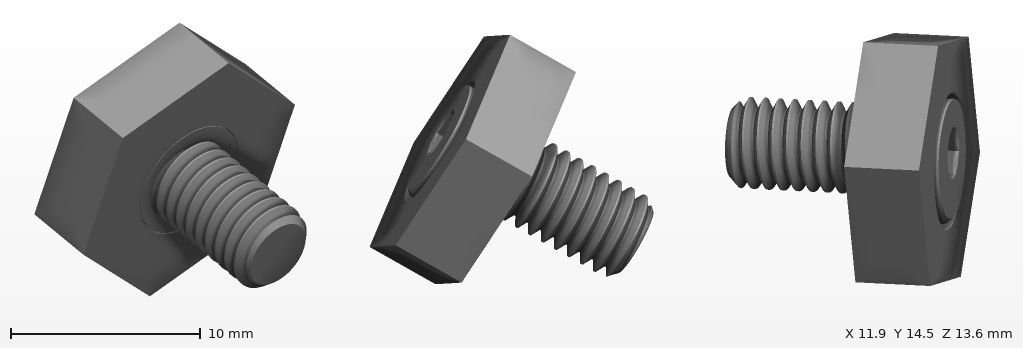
import cadquery as cq
import math


washer_across_flats = 12.7
washer_thickness = 4.05
washer_angle = 8.4
bore_radius = 3.35
bore_chamfer = 0.28

head_clearance = 0.05
head_radius = bore_radius - head_clearance
head_protrusion = 0.13
head_length = washer_thickness + head_protrusion
head_face_radius = 3.48

screw_y = -0.33
screw_z = 0.39

socket_radius = 1.38
socket_depth = 2.03
socket_chamfer_angle = 30.0

thread_length = 7.73
major_radius = 2.42
root_radius = 1.92
pitch = 25.4 / 32
flank_angle = 30.0
crest_width = pitch / 8
crest_offset = 0.48
tip_radius = 1.89
ridge_overlap = 0.05


def screw_plane(x):
    """Plane across the screw axis with its local x along +Z and its normal along +X."""
    return cq.Plane(origin=(x, screw_y, screw_z), xDir=(0, 0, 1), normal=(1, 0, 0))


def hexagon_prism(plane, corner_radius, length):
    """Hexagonal prism with the same corner angle for the washer and the socket."""
    return (
        cq.Workplane(plane)
        .transformed(rotate=(0, 0, washer_angle - 90))
        .polygon(6, 2 * corner_radius)
        .extrude(length)
    )


def cone(plane, start_radius, far_radius, length):
    """Truncated cone that starts on the plane and runs along its normal."""
    solid = cq.Solid.makeCone(start_radius, far_radius, length, plane.origin, plane.zDir)
    return cq.Workplane(obj=solid)


def make_washer():
    axis_plane = cq.Plane(origin=(0, 0, 0), xDir=(0, 0, 1), normal=(1, 0, 0))
    corner_radius = washer_across_flats / (2 * math.cos(math.radians(30)))
    washer = hexagon_prism(axis_plane, corner_radius, washer_thickness)
    bore = cq.Workplane(axis_plane).circle(bore_radius).extrude(washer_thickness)
    countersink = cone(axis_plane, bore_radius + bore_chamfer, bore_radius, bore_chamfer)
    return washer.cut(bore).cut(countersink)


def make_head():
    """Round head with a 45 degree edge chamfer turned about the screw axis."""
    head = cq.Workplane("YZ", origin=(-head_protrusion, 0, 0)).circle(head_radius).extrude(head_length)
    face_plane = screw_plane(-head_protrusion)
    chamfer_cone = cone(face_plane, head_face_radius, head_face_radius + head_length, head_length)
    return head.intersect(chamfer_cone)


def make_socket():
    """Hexagonal recess with a conical lead-in reaching the corner circle at the face."""
    face_plane = screw_plane(-head_protrusion)
    recess = hexagon_prism(face_plane, socket_radius, socket_depth)
    lead_in_depth = socket_radius * math.tan(math.radians(socket_chamfer_angle))
    lead_in = cone(face_plane, socket_radius, 0, lead_in_depth)
    return recess.union(lead_in)


def make_thread():
    """Right-hand threaded shank with a chamfered tip, starting at the washer back face."""
    start_plane = screw_plane(washer_thickness)
    foot_radius = root_radius - ridge_overlap
    crest_half = crest_width / 2
    foot_half = crest_half + (major_radius - foot_radius) * math.tan(math.radians(flank_angle))

    helix_length = thread_length + 3 * pitch
    helix = cq.Wire.makeHelix(pitch, helix_length, foot_radius)
    ridge = (
        cq.Workplane("XZ")
        .polyline([
            (foot_radius, -foot_half),
            (major_radius, -crest_half),
            (major_radius, crest_half),
            (foot_radius, foot_half),
        ])
        .close()
        .sweep(cq.Workplane(obj=helix), isFrenet=True)
    )
    ridge_plane = screw_plane(washer_thickness + crest_offset - 2 * pitch)
    ridge = cq.Workplane(obj=ridge.val().moved(cq.Location(ridge_plane)))

    envelope_radius = major_radius + ridge_overlap
    envelope = (
        cq.Workplane(start_plane)
        .circle(envelope_radius)
        .extrude(thread_length)
        .faces(">X")
        .chamfer(envelope_radius - tip_radius)
    )
    core = (
        cq.Workplane(start_plane)
        .circle(root_radius)
        .extrude(thread_length)
        .faces(">X")
        .chamfer(root_radius - tip_radius)
    )
    return core.union(ridge.intersect(envelope))


def make_screw():
    return make_head().cut(make_socket()).union(make_thread())


washer = make_washer()
screw = make_screw()

result = cq.Compound.makeCompound([washer.val(), *screw.solids().vals()])